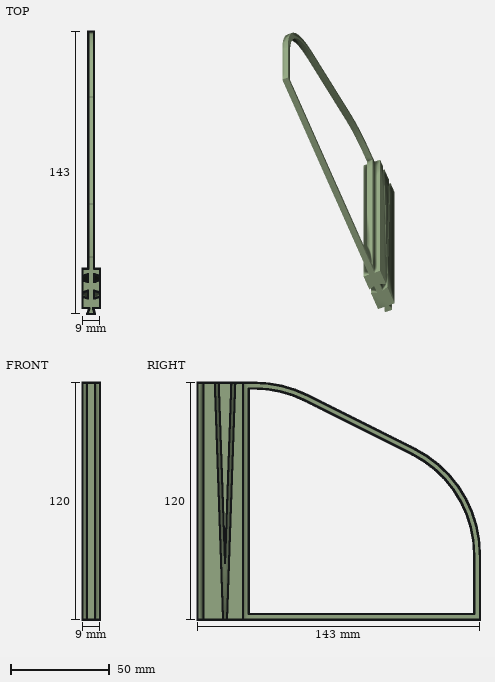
import cadquery as cq
import math

height = 120.0
frame_length = 120.0
frame_thickness = 3.0
wall = 3.0
post_width = 9.0
post_length = 20.0
tongue_length = 3.0

side_height = 69.9
top_length = 20.0
corner_radius = 60.0

dovetail_neck = 2.0
dovetail_base = 4.0
groove_depth = (post_width - frame_thickness) / 2
groove_tilt = 2.0
groove_setback = 9.0
groove_overrun = 7.2

post_front = tongue_length
post_back = post_front + post_length
frame_back = post_back + frame_length


def make_frame():
    """Constant-wall closed frame with two rounded corners joined by a slope."""
    top_corner = (post_back + top_length, height)
    side_corner = (frame_back, side_height)
    outline = [(post_back, 0), (frame_back, 0), side_corner, top_corner, (post_back, height)]
    plate = cq.Workplane("YZ").polyline(outline).close().extrude(frame_thickness / 2, both=True)
    for corner_y, corner_z in (top_corner, side_corner):
        corner_edge = cq.selectors.NearestToPointSelector((0, corner_y, corner_z))
        plate = plate.edges("|X").edges(corner_edge).fillet(corner_radius)
    rim = plate.faces("<X").wires().toPending()
    opening = rim.offset2D(-wall).extrude(frame_thickness, combine=False, both=True)
    return plate.cut(opening)


def make_post():
    """Plain rectangular post."""
    block = cq.Workplane("XY").box(post_width, post_length, height, centered=(True, False, False))
    return block.translate((0, post_front, 0))


def dovetail_bar(depth, length):
    """Upright dovetail bar: neck at Y = 0, wider base at Y = -depth."""
    section = [
        (-dovetail_neck / 2, 0),
        (-dovetail_base / 2, -depth),
        (dovetail_base / 2, -depth),
        (dovetail_neck / 2, 0),
    ]
    return cq.Workplane("XY").polyline(section).close().extrude(length)


def make_groove(side, tilt):
    """Groove in the +X or -X face (side = 1 or -1), leaning in Y by tilt degrees."""
    length = height / math.cos(math.radians(tilt)) + 2 * groove_overrun
    bar = dovetail_bar(groove_depth, length).translate((0, 0, -groove_overrun))
    bar = bar.rotate((0, 0, 0), (0, 0, 1), -90 * side)
    bar = bar.rotate((0, 0, 0), (1, 0, 0), tilt)
    return bar.translate((side * post_width / 2, post_back - groove_setback, 0))


tongue = dovetail_bar(tongue_length, height).translate((0, post_front, 0))
result = make_post().union(make_frame()).union(tongue)
for face_side in (-1, 1):
    for lean in (-groove_tilt, groove_tilt):
        result = result.cut(make_groove(face_side, lean))